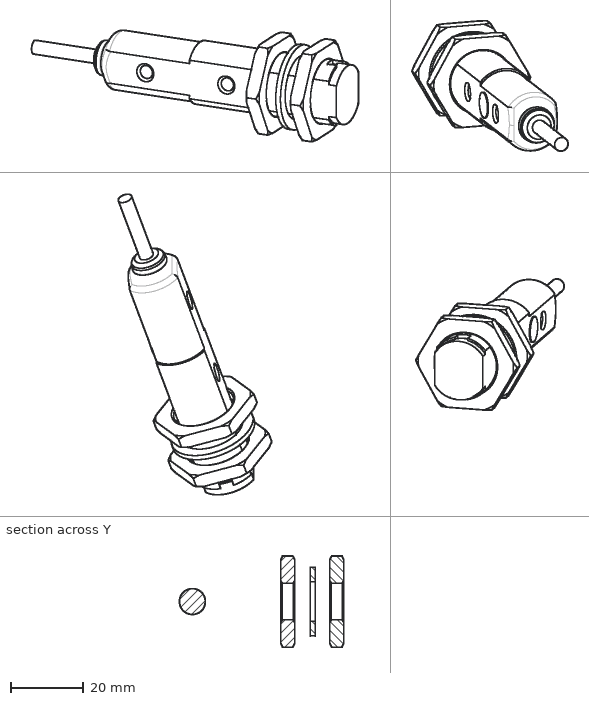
import cadquery as cq
import math

total_length = 96.6

cable_diameter = 4.0

collar_start = 19.9
collar_face_diameter = 7.0
collar_diameter = 10.0
collar_taper_end = 20.8
collar_taper_diameter = 9.3
collar_round_end = 21.3
collar_round_diameter = 9.85
collar_end = 22.5

dome_start = 22.9
dome_angle = 54
rear_diameter = 16.8
dome_round_radius = 2.1

flat_width = 14.0
thread_start = 51.2
thread_end = 94.2
thread_diameter = 18.0

hole_diameter = 3.8
hole_mouth_diameter = 5.2
hole_positions = (37.6, 62.6)

disc_diameter = 7.2
disc_height = 0.3
disc_position = thread_start - disc_diameter / 2

slot_width = 3.8
slot_start = 91.2
slot_step = 93.0
slot_floor_diameter = 15.8

nut_flats = 25.4
nut_thickness = 4.0
nut_face_diameter = 27.5
nut_chamfer_length = 0.6
nut_positions = (72.05, 85.7)
nut_bore_diameter = 17.5
nut_bore_mouth_diameter = 18.4

washer_diameter = 24.0
washer_thickness = 1.45
washer_position = 80.3


def x_cylinder(diameter, start, length):
    """Cylinder centred on the X axis."""
    return cq.Workplane("YZ", origin=(start, 0, 0)).circle(diameter / 2).extrude(length)


def turned_core():
    """Cable, collar, domed end, rear barrel and thread as one profile turned about X."""
    rear_radius = rear_diameter / 2
    cone_angle = math.radians(dome_angle)
    cone_top_radius = rear_radius - dome_round_radius * (1 - math.cos(cone_angle))
    cone_end = dome_start + (cone_top_radius - collar_diameter / 2) / math.tan(cone_angle)
    round_end = cone_end + dome_round_radius * math.sin(cone_angle)
    half = cone_angle / 2
    round_middle = (
        round_end - dome_round_radius * math.sin(half),
        rear_radius - dome_round_radius * (1 - math.cos(half)),
    )
    profile = (
        cq.Workplane("XY")
        .moveTo(0, 0)
        .lineTo(0, cable_diameter / 2)
        .lineTo(collar_start, cable_diameter / 2)
        .lineTo(collar_start, collar_face_diameter / 2)
        .lineTo(collar_taper_end, collar_taper_diameter / 2)
        .lineTo(collar_round_end, collar_round_diameter / 2)
        .lineTo(collar_end, collar_diameter / 2)
        .lineTo(dome_start, collar_diameter / 2)
        .lineTo(cone_end, cone_top_radius)
        .threePointArc(round_middle, (round_end, rear_radius))
        .lineTo(thread_start, rear_radius)
        .lineTo(thread_start, thread_diameter / 2)
        .lineTo(thread_end, thread_diameter / 2)
        .lineTo(thread_end, rear_radius)
        .lineTo(total_length, rear_radius)
        .lineTo(total_length, 0)
        .close()
    )
    return profile.revolve(360, (0, 0, 0), (1, 0, 0))


def cross_hole(position):
    """Through hole along Y, chamfered where it opens on each flat."""
    half_width = flat_width / 2
    hole_radius = hole_diameter / 2
    mouth_radius = hole_mouth_diameter / 2
    chamfer = mouth_radius - hole_radius
    return (
        cq.Workplane("XY", origin=(position, 0, 0))
        .polyline([
            (0, -half_width),
            (mouth_radius, -half_width),
            (hole_radius, chamfer - half_width),
            (hole_radius, half_width - chamfer),
            (mouth_radius, half_width),
            (0, half_width),
        ])
        .close()
        .revolve(360, (0, 0, 0), (0, 1, 0))
    )


def key_slots():
    """Stepped slots across the top and bottom of the thread, deepest at their closed end."""
    mouth = slot_band(slot_start, total_length).cut(x_cylinder(rear_diameter, slot_start, total_length))
    pocket = slot_band(slot_start, slot_step).cut(x_cylinder(slot_floor_diameter, slot_start, total_length))
    return mouth.union(pocket)


def slot_band(start, end):
    """Block as wide as a key slot that spans the full height of the thread."""
    return (
        cq.Workplane("YZ", origin=(start, 0, 0))
        .rect(slot_width, 2 * thread_diameter)
        .extrude(end - start)
    )


def flat_envelope():
    """Slab between the two flats, rounded at its rear end where it meets the dome's cone."""
    outer_radius = 2 * thread_diameter
    cone_length = (outer_radius - collar_diameter / 2) / math.tan(math.radians(dome_angle))
    cone = (
        cq.Workplane("XY")
        .polyline([
            (dome_start, 0),
            (dome_start, collar_diameter / 2),
            (dome_start + cone_length, outer_radius),
            (total_length, outer_radius),
            (total_length, 0),
        ])
        .close()
        .revolve(360, (0, 0, 0), (1, 0, 0))
    )
    slab = cq.Workplane("XY").box(2 * total_length, flat_width, 2 * thread_diameter)
    blunt = cone.intersect(slab)
    rounded = blunt.faces("<Y or >Y").edges("%HYPERBOLA").fillet(dome_round_radius)
    return rounded.union(x_cylinder(collar_diameter, 0, dome_start))


def make_housing():
    body = turned_core().intersect(flat_envelope())
    for position in hole_positions:
        body = body.cut(cross_hole(position))
    disc = (
        cq.Workplane("XZ", origin=(disc_position, flat_width / 2, 0))
        .circle(disc_diameter / 2)
        .extrude(-disc_height)
    )
    return body.cut(key_slots()).union(disc)


def chamfered_disc(start, face_diameter, middle_diameter, chamfer_length):
    """Nut-thick disc about X whose diameter changes from the end faces to the middle."""
    end = start + nut_thickness
    return (
        cq.Workplane("XY")
        .polyline([
            (start, 0),
            (start, face_diameter / 2),
            (start + chamfer_length, middle_diameter / 2),
            (end - chamfer_length, middle_diameter / 2),
            (end, face_diameter / 2),
            (end, 0),
        ])
        .close()
        .revolve(360, (0, 0, 0), (1, 0, 0))
    )


def make_nut(start):
    corner_diameter = nut_flats / math.cos(math.radians(30))
    hexagon = cq.Workplane("YZ", origin=(start, 0, 0)).polygon(6, corner_diameter).extrude(nut_thickness)
    blank = chamfered_disc(start, nut_face_diameter, corner_diameter, nut_chamfer_length)
    bore_chamfer = (nut_bore_mouth_diameter - nut_bore_diameter) / 2
    bore = chamfered_disc(start, nut_bore_mouth_diameter, nut_bore_diameter, bore_chamfer)
    return hexagon.intersect(blank).cut(bore)


def make_washer():
    ring = x_cylinder(washer_diameter, washer_position, washer_thickness)
    return ring.cut(x_cylinder(thread_diameter, washer_position, washer_thickness))


nuts = [make_nut(position) for position in nut_positions]
washer = make_washer()
housing = make_housing()
for nut in nuts:
    housing = housing.cut(nut)

result = cq.Compound.makeCompound([housing.val(), washer.val(), *[nut.val() for nut in nuts]])